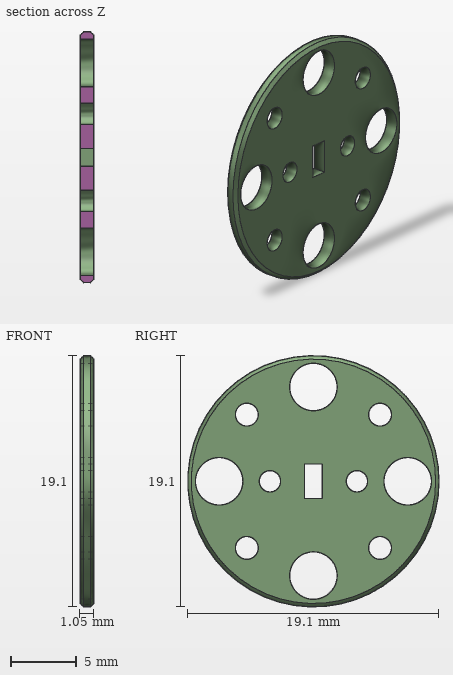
import cadquery as cq

disc_diameter = 19.05
disc_thickness = 1.05
rim_chamfer = 0.27
back_face = (-disc_thickness / 2, 0, 0)

large_hole_diameter = 3.58
large_hole_offset = 7.15

corner_hole_diameter = 1.71
corner_hole_spacing = 10.1

inner_hole_diameter = 1.6
inner_hole_offset = 3.3

slot_width = 1.33
slot_height = 2.6


def through_holes(centres, diameter):
    """Cylinders along X that pass through the disc at the given (Y, Z) centres."""
    return (
        cq.Workplane("YZ", origin=back_face)
        .pushPoints(centres)
        .circle(diameter / 2)
        .extrude(disc_thickness)
    )


disc = (
    cq.Workplane("YZ", origin=back_face)
    .circle(disc_diameter / 2)
    .extrude(disc_thickness)
    .edges("%CIRCLE")
    .chamfer(rim_chamfer)
)

inner_centres = [(side * inner_hole_offset, 0) for side in (-1, 1)]
large_centres = []
for side in (-1, 1):
    large_centres.append((side * large_hole_offset, 0))
    large_centres.append((0, side * large_hole_offset))

half_spacing = corner_hole_spacing / 2
corner_centres = [(y * half_spacing, z * half_spacing) for y in (-1, 1) for z in (-1, 1)]

slot = cq.Workplane("YZ", origin=back_face).rect(slot_width, slot_height).extrude(disc_thickness)

result = (
    disc
    .cut(through_holes(large_centres, large_hole_diameter))
    .cut(through_holes(corner_centres, corner_hole_diameter))
    .cut(through_holes(inner_centres, inner_hole_diameter))
    .cut(slot)
)